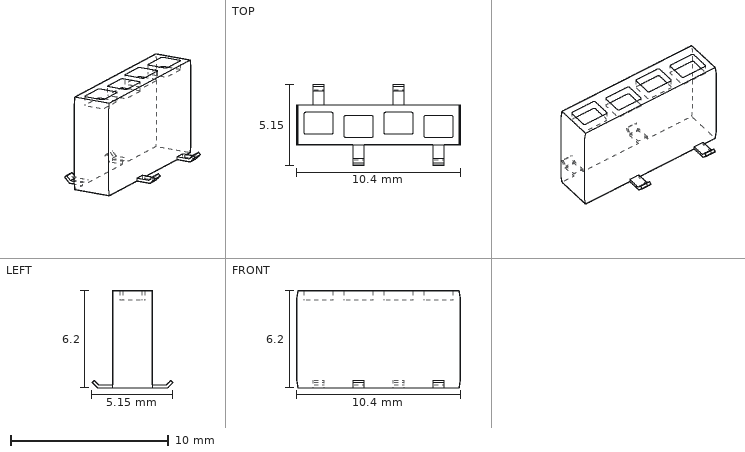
import cadquery as cq
import math

length = 10.42
pitch = 2.54
width = 2.53
height = 6.2
taper_inset = 0.08
taper_height = 0.52

position_count = 4
pocket_length = 1.84
pocket_width = 1.4
pocket_depth = 0.6
pocket_corner_radius = 0.1
pocket_stagger = 0.1

lead_span = 5.15
lead_width = 0.71
lead_thickness = 0.2
tip_rise = 0.35
tip_angle = math.radians(45)


def make_housing():
    half_length = length / 2
    end_half_length = half_length - taper_inset
    outline = [
        (-end_half_length, 0),
        (end_half_length, 0),
        (half_length, taper_height),
        (half_length, height - taper_height),
        (end_half_length, height),
        (-end_half_length, height),
        (-half_length, height - taper_height),
        (-half_length, taper_height),
    ]
    return cq.Workplane("XZ").polyline(outline).close().extrude(width / 2, both=True)


def make_pocket(x, side):
    return (
        cq.Workplane("XY", origin=(x, side * pocket_stagger, height - pocket_depth))
        .rect(pocket_length, pocket_width)
        .extrude(pocket_depth)
        .edges("|Z")
        .fillet(pocket_corner_radius)
    )


def make_lead(x, side):
    """Lead leaving the housing towards +Y (side = 1) or -Y (side = -1)."""
    root = width / 2
    tip = lead_span / 2
    outer_bend = tip - tip_rise / math.tan(tip_angle)
    inner_bend = outer_bend - lead_thickness * math.tan(tip_angle / 2)
    tip_inner_y = tip - lead_thickness * math.sin(tip_angle)
    tip_inner_z = tip_rise + lead_thickness * math.cos(tip_angle)
    profile = [
        (root, 0),
        (outer_bend, 0),
        (tip, tip_rise),
        (tip_inner_y, tip_inner_z),
        (inner_bend, lead_thickness),
        (root, lead_thickness),
    ]
    return (
        cq.Workplane("YZ", origin=(x, 0, 0))
        .polyline([(side * y, z) for y, z in profile])
        .close()
        .extrude(lead_width / 2, both=True)
    )


result = make_housing()
for index in range(position_count):
    position_x = (index - (position_count - 1) / 2) * pitch
    position_side = 1 if index % 2 == 0 else -1
    result = result.cut(make_pocket(position_x, position_side))
    result = result.union(make_lead(position_x, position_side))